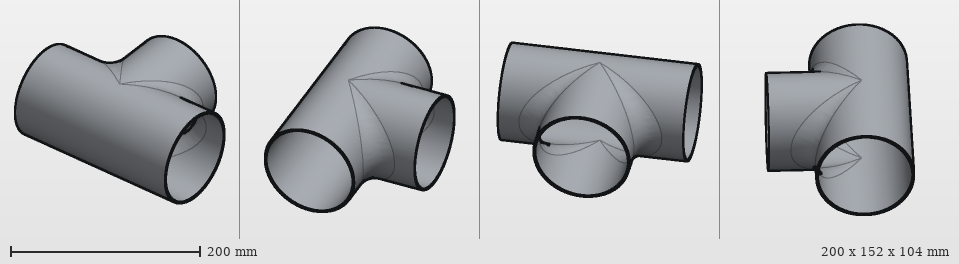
import cadquery as cq
import math

run_length = 200.0
branch_reach = 100.0
outer_diameter = 104.0
bore_diameter = 100.0
crotch_radius = 25.0

outer_radius = outer_diameter / 2
bore_radius = bore_diameter / 2
half_run = run_length / 2
blend_end = outer_radius + crotch_radius
quarter_turn = math.pi / 2
blend_intervals = 8

ORIGIN = cq.Vector(0, 0, 0)
UP = cq.Vector(0, 0, 1)


def blend_rib(pipe_radius, turn):
    """Upright half ellipse on the blend, through one point of the crotch arc and both pipe tops."""
    arc_radius = blend_end - pipe_radius
    x = blend_end - arc_radius * math.sin(turn)
    y = blend_end - arc_radius * math.cos(turn)
    foot = cq.Vector(x, y, 0)
    edge = cq.Edge.makeEllipse(foot.Length, pipe_radius, ORIGIN, foot.cross(UP), foot, -90, 90)
    return cq.Wire.assembleEdges([edge])


def crotch_wedge(pipe_radius):
    """Solid between the Z axis and the blend on the +X side.

    In the plane Z = 0 the blend is an arc tangent to both pipes; it narrows to a point
    at the top and bottom of the pipes.
    """
    ribs = [blend_rib(pipe_radius, quarter_turn * i / blend_intervals) for i in range(blend_intervals + 1)]
    blend = cq.occ_impl.shapes.loft(ribs)
    axis = cq.Edge.makeLine(cq.Vector(0, 0, -pipe_radius), cq.Vector(0, 0, pipe_radius))
    faces = [blend]
    for rib in (ribs[0], ribs[-1]):
        faces.append(cq.Face.makeFromWires(cq.Wire.assembleEdges(rib.Edges() + [axis])))
    return cq.Workplane(obj=cq.Solid.makeSolid(cq.Shell.makeShell(faces)))


def tee_body(pipe_radius):
    """Solid tee of one pipe radius: run, branch and the crotch blends between them."""
    slope = blend_end / pipe_radius
    run_trim = [(0, 0), (half_run, half_run / slope), (half_run, half_run * slope),
                (-half_run, half_run * slope), (-half_run, half_run / slope)]
    branch_trim = [(0, 0), (branch_reach / slope, branch_reach), (-branch_reach / slope, branch_reach)]

    def prism(outline):
        return cq.Workplane("XY").polyline(outline).close().extrude(2 * pipe_radius, both=True)

    run = cq.Workplane("YZ").circle(pipe_radius).extrude(half_run, both=True).cut(prism(run_trim))
    branch = cq.Workplane("XZ").circle(pipe_radius).extrude(-branch_reach).intersect(prism(branch_trim))

    right = crotch_wedge(pipe_radius)
    left = right.mirror("YZ")
    return run.union(right).union(left).union(branch)


result = tee_body(outer_radius).cut(tee_body(bore_radius))